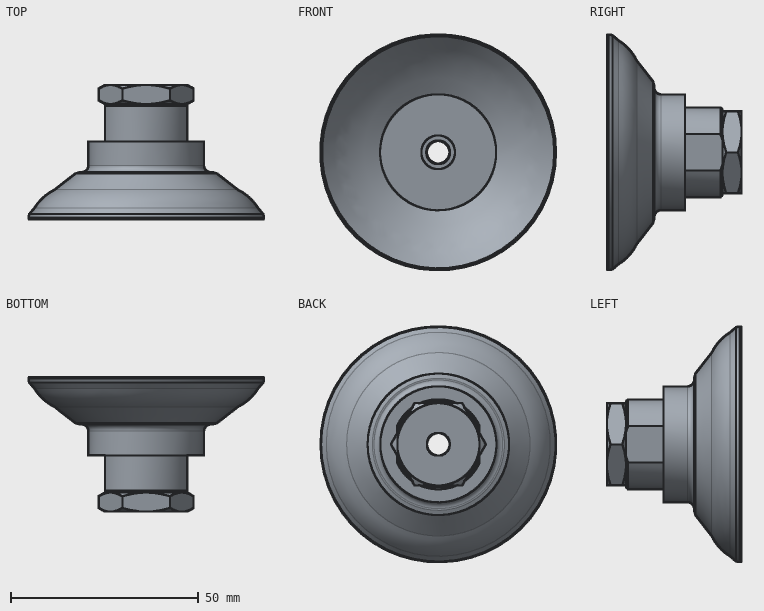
import cadquery as cq
import math


cup_radius = 31.5
rim_flat_radius = 31.3
rim_band_start = 0.45
rim_band_end = 0.8
rim_height = 1.45
lip_radius = 29.9
lip_height = 3.1
skirt_bulge = (28.0, 5.55)
skirt_radius = 24.5
skirt_height = 8.0
shoulder_radius = 18.9
shoulder_height = 12.35
crown_radius = 17.65
crown_height = 12.7

bowl_rim_radius = 31.0
bowl_bulge = (23.8, 6.25)
bowl_depth = 10.5

collar_radius = 31.0 / 2
collar_fillet = 1.7
collar_back = 20.9

across_flats = 22.0
neck_radius = 12.05
neck_back = 30.9
neck_chamfer = 0.55
overall_length = 36.0
hex_chamfer_angle = 30

bore_diameter = 6.0
bore_chamfer = 0.2
counterbore_diameter = 9.0
counterbore_depth = 2.9


def cylinder(radius, start, end):
    """Cylinder on the Y axis between two Y positions."""
    return cq.Workplane("XZ", origin=(0, start, 0)).circle(radius).extrude(start - end)


def make_cup():
    """Revolved cup and collar; profile points are (radius, Y)."""
    fillet_center = (collar_radius + collar_fillet, crown_height + collar_fillet)
    fillet_reach = collar_fillet * math.sqrt(0.5)
    fillet_middle = (fillet_center[0] - fillet_reach, fillet_center[1] - fillet_reach)
    return (
        cq.Workplane("XY")
        .moveTo(0, bowl_depth)
        .lineTo(collar_radius, bowl_depth)
        .threePointArc(bowl_bulge, (bowl_rim_radius, 0))
        .lineTo(rim_flat_radius, 0)
        .lineTo(cup_radius, rim_band_start)
        .lineTo(cup_radius, rim_band_end)
        .lineTo(rim_flat_radius, rim_height)
        .lineTo(lip_radius, lip_height)
        .threePointArc(skirt_bulge, (skirt_radius, skirt_height))
        .lineTo(shoulder_radius, shoulder_height)
        .lineTo(crown_radius, crown_height)
        .lineTo(fillet_center[0], crown_height)
        .threePointArc(fillet_middle, (collar_radius, fillet_center[1]))
        .lineTo(collar_radius, collar_back)
        .lineTo(0, collar_back)
        .close()
        .revolve(360, (0, 0, 0), (0, 1, 0))
    )


def make_neck():
    """Round neck with two wrench flats facing -X and +X."""
    neck = cylinder(neck_radius, collar_back, neck_back).faces(">Y").chamfer(neck_chamfer)
    length = neck_back - collar_back
    flats = cq.Workplane("XY").box(across_flats, length, 2 * neck_radius)
    return neck.intersect(flats.translate((0, collar_back + length / 2, 0)))


def make_hexagon():
    """Hexagon with corners on the X axis, chamfered conically at both ends."""
    flat_radius = across_flats / 2
    corner_radius = flat_radius / math.cos(math.pi / 6)
    bevel = (corner_radius - flat_radius) * math.tan(math.radians(hex_chamfer_angle))
    prism = (
        cq.Workplane("XZ", origin=(0, neck_back, 0))
        .polygon(6, 2 * corner_radius)
        .extrude(neck_back - overall_length)
    )
    envelope = (
        cq.Workplane("XY")
        .moveTo(0, neck_back)
        .lineTo(flat_radius, neck_back)
        .lineTo(corner_radius, neck_back + bevel)
        .lineTo(corner_radius, overall_length - bevel)
        .lineTo(flat_radius, overall_length)
        .lineTo(0, overall_length)
        .close()
        .revolve(360, (0, 0, 0), (0, 1, 0))
    )
    return prism.intersect(envelope)


def make_bore():
    """Through bore with a chamfered entry at the bottom of its counterbore."""
    bore_radius = bore_diameter / 2
    counterbore_radius = counterbore_diameter / 2
    counterbore_floor = bowl_depth + counterbore_depth
    return (
        cq.Workplane("XY")
        .moveTo(0, bowl_depth)
        .lineTo(counterbore_radius, bowl_depth)
        .lineTo(counterbore_radius, counterbore_floor)
        .lineTo(bore_radius + bore_chamfer, counterbore_floor)
        .lineTo(bore_radius, counterbore_floor + bore_chamfer)
        .lineTo(bore_radius, overall_length)
        .lineTo(0, overall_length)
        .close()
        .revolve(360, (0, 0, 0), (0, 1, 0))
    )


result = make_cup().union(make_neck()).union(make_hexagon()).cut(make_bore())